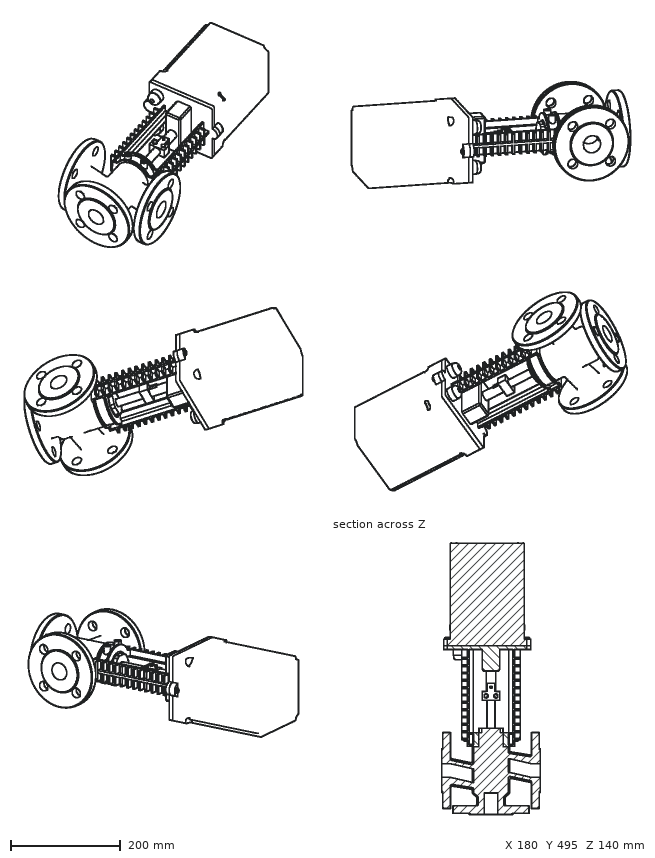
import cadquery as cq
import math


PORT_REACH = 90.0
BOTTOM_REACH = 80.0
FLANGE_DIA = 140.0
FLANGE_THICKNESS = 16.5
RIM_CHAMFER = 1.5
RAISED_DIA = 77.5
RAISED_BASE_DIA = 81.5
RAISED_HEIGHT = 2.0
BOLT_CIRCLE_DIA = 100.0
BOLT_HOLE_DIA = 18.0
BOLT_COUNT = 4
FIRST_BOLT_ANGLE = 45
BORE_DIA = 32.0

BODY_DIA = 68.0
BODY_BOTTOM = -41.0
NECK_DIA = 52.0
NECK_SHOULDER = 7.5
NECK_FLARE = 2.5
SHOULDER_RADIUS = 3.0
PORT_DROP = 17.0
PORT_DIA_AT_FLANGE = 50.0
PORT_DIA_AT_BODY = 45.5
PORT_FILLET = 3.0
JOINT_MARGIN = 0.5

CLAMP_BOTTOM = 44.0
CLAMP_TOP = 69.5
CLAMP_PLATE_THICKNESS = 3.5
CLAMP_PLATE_DIA = 76.0
SPIGOT_DIA = 50.0
SCREW_OFFSET = 17.5
SCREW_DIA = 12.5
SCREW_SOCKET_DIA = 7.5
SCREW_SOCKET_DEPTH = 3.5
SCREW_TOP = 39.5

NUT_TOP = 77.0
NUT_FLATS = 41.5
NUT_ROUND_DIA = 44.5

COLUMN_INNER = 32.0
WEB_INNER = 39.5
WEB_OUTER = 43.0
FIN_OUTER = 53.5
COLUMN_WIDTH = 38.0
RAIL_WIDTH = 15.0
SPINE_WIDTH = 5.0
SPINE_BOTTOM = 53.0
SPINE_RADIUS = 9.5
FIN_COUNT = 12
FIRST_FIN = 204.5
FIN_PITCH = 13.5
FIN_THICKNESS = 3.5

BASE_BOTTOM = 220.5
BASE_TOP = 227.5
CASE_CENTER_X = -7.0
CASE_WIDTH = 136.0
CASE_HEIGHT = 124.5
CASE_EDGE_RADIUS = 4.0
EAR_DIA = 25.0
EAR_SPACING = 133.5
GLAND_X = -56.5
GLAND_Z = 38.0
GLAND_DIA = 25.0
GLAND_BARREL = 10.5
GLAND_COLLAR = 3.0
GLAND_COLLAR_DIA = 24.0
GLAND_LENGTH = 19.0
GLAND_NOSE_DIA = 13.5
GLAND_BULGE = 1.0
GLAND_HOLE_DIA = 7.5
GLAND_HOLE_DEPTH = 7.5
GEARBOX_WIDTH = 32.0
GEARBOX_HEIGHT = 89.0
GEARBOX_BOTTOM = 181.0
GEARBOX_CHAMFER = 3.0
SPINDLE_DIA = 18.0

COVER_TOP = 415.0
COVER_TOP_RADIUS = 3.0
GROOVE_RADIUS = 10.0
GROOVE_LIP_RADIUS = 3.0
GROOVE_BOTTOM = 264.5
GROOVE_RUNOUT = 8.0
GROOVE_END_RADIUS = 7.5
COVER_EAR_TOP = 239.5
EAR_PIN_DIA = 10.0
EAR_PIN_TOP = 243.0
EAR_PIN_CHAMFER = 2.0
EAR_PIN_SHIFT = 6.0

COUPLING_WIDTH = 32.0
COUPLING_BOTTOM = 127.5
COUPLING_TOP = 144.0
COUPLING_THICKNESS = 18.0
TAB_WIDTH = 14.5
TAB_TOP = 159.0
CLAMP_BOLT_DIA = 7.5
CLAMP_BOLT_OFFSET = 9.0
TAB_PIN_DIA = 4.0
TAB_PIN_Y = 152.0
PIN_HEIGHT = 3.0
STEM_DIA = 15.0


def box(x0, x1, y0, y1, z0, z1):
    """Box between two opposite corners."""
    return cq.Workplane("XY").box(x1 - x0, y1 - y0, z1 - z0, centered=False).translate((x0, y0, z0))


def rod(diameter, y0, y1, x=0, z=0):
    """Cylinder parallel to Y."""
    solid = cq.Solid.makeCylinder(diameter / 2, y1 - y0, cq.Vector(x, y0, z), cq.Vector(0, 1, 0))
    return cq.Workplane(obj=solid)


def post(diameter, x, y, z0, z1):
    """Cylinder parallel to Z."""
    solid = cq.Solid.makeCylinder(diameter / 2, z1 - z0, cq.Vector(x, y, z0), cq.Vector(0, 0, 1))
    return cq.Workplane(obj=solid)


def round_joint(body, center, radius):
    """Fillet the edge whose centre lies nearest to a point."""
    return body.edges(cq.selectors.NearestToPointSelector(center)).fillet(radius)


def flange(reach):
    """Bottom flange: drilled disc with a bevelled raised face at y = -reach."""
    back = FLANGE_THICKNESS - reach
    seat = RAISED_HEIGHT - reach
    disc = rod(FLANGE_DIA, seat, back).faces("<Y or >Y").chamfer(RIM_CHAMFER)
    raised = cq.Workplane(obj=cq.Solid.makeCone(
        RAISED_DIA / 2, RAISED_BASE_DIA / 2, RAISED_HEIGHT, cq.Vector(0, -reach, 0), cq.Vector(0, 1, 0)))
    disc = disc.union(raised)
    for index in range(BOLT_COUNT):
        angle = math.radians(FIRST_BOLT_ANGLE + index * 360 / BOLT_COUNT)
        hole_x = BOLT_CIRCLE_DIA / 2 * math.cos(angle)
        hole_z = BOLT_CIRCLE_DIA / 2 * math.sin(angle)
        disc = disc.cut(rod(BOLT_HOLE_DIA, seat, back, hole_x, hole_z))
    return disc


def side_flange(side):
    """The same flange turned to face -X (side = -1) or +X (side = 1)."""
    return flange(PORT_REACH).rotate((0, 0, 0), (0, 0, 1), side * 90)


def port_pipe(side):
    """Tapered pipe sloping from inside a side flange to the stem axis."""
    start = cq.Vector(side * PORT_REACH, 0, 0)
    run = cq.Vector(0, side * PORT_DROP, 0) - start
    pipe = cq.Solid.makeCone(PORT_DIA_AT_FLANGE / 2, PORT_DIA_AT_BODY / 2, run.Length, start, run)
    limit = PORT_REACH - FLANGE_THICKNESS / 2
    inside_flanges = box(-limit, limit, -FLANGE_DIA, FLANGE_DIA, -FLANGE_DIA, FLANGE_DIA)
    return cq.Workplane(obj=pipe).intersect(inside_flanges)


def port_bore(side):
    """Straight bore through the flange, then a sloping bore that ends on the barrel surface."""
    start = cq.Vector(side * PORT_REACH, 0, 0)
    inward = cq.Vector(-side, 0, 0)
    bend = start + inward * FLANGE_THICKNESS
    run = cq.Vector(0, side * PORT_DROP, 0) - bend
    straight = cq.Solid.makeCylinder(BORE_DIA / 2, FLANGE_THICKNESS, start, inward)
    elbow = cq.Solid.makeSphere(BORE_DIA / 2, bend, cq.Vector(0, 0, 1), -90, 90, 360)
    sloping = cq.Solid.makeCylinder(BORE_DIA / 2, run.Length, bend, run)
    bore = cq.Workplane(obj=straight).union(cq.Workplane(obj=elbow)).union(cq.Workplane(obj=sloping))
    return bore.cut(rod(BODY_DIA, BODY_BOTTOM, CLAMP_BOTTOM))


def valve_barrel():
    """Turned barrel with a tapered shoulder and a neck that flares into the bottom flange."""
    neck_radius = NECK_DIA / 2
    shoulder_end = BODY_BOTTOM - NECK_SHOULDER
    neck_end = FLANGE_THICKNESS - BOTTOM_REACH
    flare_mid = NECK_FLARE * (1 - math.sqrt(0.5))
    barrel = (
        cq.Workplane("XY")
        .moveTo(0, CLAMP_BOTTOM)
        .lineTo(BODY_DIA / 2, CLAMP_BOTTOM)
        .lineTo(BODY_DIA / 2, BODY_BOTTOM)
        .lineTo(neck_radius, shoulder_end)
        .lineTo(neck_radius, neck_end + NECK_FLARE)
        .threePointArc((neck_radius + flare_mid, neck_end + flare_mid), (neck_radius + NECK_FLARE, neck_end))
        .lineTo(0, neck_end)
        .close()
        .revolve(360, (0, 0, 0), (0, 1, 0))
    )
    for shoulder_y in (BODY_BOTTOM, shoulder_end):
        barrel = round_joint(barrel, (0, shoulder_y, 0), SHOULDER_RADIUS)
    return barrel.rotate((0, 0, 0), (0, 1, 0), 90)


def round_flange_joint(body, side):
    """Fillet the edge between a sloping pipe and the back of its flange."""
    back = side * (PORT_REACH - FLANGE_THICKNESS)
    reach = PORT_DIA_AT_FLANGE
    zone = cq.selectors.BoxSelector(
        (back - JOINT_MARGIN, -reach, -reach), (back + JOINT_MARGIN, reach, reach))
    return body.edges(zone).edges("%ELLIPSE").fillet(PORT_FILLET)


def bonnet():
    """Spigot inside the clamp and the hexagon nut on top of it."""
    corner_dia = NUT_FLATS / math.cos(math.pi / 6)
    nut = cq.Workplane("XZ", origin=(0, NUT_TOP, 0)).polygon(6, corner_dia).extrude(NUT_TOP - CLAMP_TOP)
    nut = nut.intersect(rod(NUT_ROUND_DIA, CLAMP_TOP, NUT_TOP))
    return rod(SPIGOT_DIA, CLAMP_BOTTOM, CLAMP_TOP).union(nut)


def make_valve():
    body = valve_barrel()
    for side in (-1, 1):
        body = body.union(port_pipe(side))
        joint_y = side * PORT_DROP * (1 - BODY_DIA / 2 / PORT_REACH)
        body = round_joint(body, (side * BODY_DIA / 2, joint_y, 0), PORT_FILLET)
    for side in (-1, 1):
        body = body.union(side_flange(side))
        body = round_flange_joint(body, side)
    body = body.union(flange(BOTTOM_REACH))
    for side in (-1, 1):
        body = body.cut(port_bore(side))
    body = body.cut(rod(BORE_DIA, -BOTTOM_REACH, BODY_BOTTOM))
    return body.union(bonnet()).cut(rod(STEM_DIA, CLAMP_BOTTOM, NUT_TOP))


def column():
    """Finned column on the +X side."""
    half_width = COLUMN_WIDTH / 2
    web = box(WEB_INNER, WEB_OUTER, CLAMP_BOTTOM, BASE_BOTTOM, -half_width, half_width)
    rail = box(COLUMN_INNER, WEB_INNER, CLAMP_BOTTOM, BASE_BOTTOM, -RAIL_WIDTH / 2, RAIL_WIDTH / 2)
    spine = box(WEB_OUTER, FIN_OUTER, SPINE_BOTTOM, BASE_BOTTOM, -SPINE_WIDTH / 2, SPINE_WIDTH / 2)
    spine = spine.edges(">X and <Y").fillet(SPINE_RADIUS)
    part = web.union(rail).union(spine)
    for index in range(FIN_COUNT):
        fin_bottom = FIRST_FIN - index * FIN_PITCH - FIN_THICKNESS / 2
        fin_top = fin_bottom + FIN_THICKNESS
        part = part.union(box(WEB_OUTER, FIN_OUTER, fin_bottom, fin_top, -half_width, half_width))
    return part


def clamp_plate(bottom):
    """Round plate widened along X to carry the columns."""
    top = bottom + CLAMP_PLATE_THICKNESS
    bridge = box(-WEB_OUTER, WEB_OUTER, bottom, top, -COLUMN_WIDTH / 2, COLUMN_WIDTH / 2)
    return rod(CLAMP_PLATE_DIA, bottom, top).union(bridge)


def clamp_screw(x):
    """Socket screw standing on the clamp ring."""
    y = (CLAMP_BOTTOM + CLAMP_TOP) / 2
    screw = post(SCREW_DIA, x, y, 0, SCREW_TOP)
    return screw.cut(post(SCREW_SOCKET_DIA, x, y, SCREW_TOP - SCREW_SOCKET_DEPTH, SCREW_TOP))


def make_yoke():
    ring = rod(BODY_DIA, CLAMP_BOTTOM, CLAMP_TOP)
    yoke = ring.union(clamp_plate(CLAMP_BOTTOM)).union(clamp_plate(CLAMP_TOP - CLAMP_PLATE_THICKNESS))
    yoke = yoke.union(column()).union(column().mirror("YZ"))
    for side in (-1, 1):
        yoke = yoke.union(clamp_screw(side * SCREW_OFFSET))
    return yoke.cut(rod(SPIGOT_DIA, CLAMP_BOTTOM, CLAMP_TOP))


def case_span():
    """Extent of the actuator case along X."""
    return CASE_CENTER_X - CASE_WIDTH / 2, CASE_CENTER_X + CASE_WIDTH / 2


def case_block(y0, y1):
    """Slab of the actuator case with rounded long edges."""
    block = box(*case_span(), y0, y1, -CASE_HEIGHT / 2, CASE_HEIGHT / 2)
    return block.edges("|Y").fillet(CASE_EDGE_RADIUS)


def ear_positions():
    """Side and X position of each ear."""
    return [(side, CASE_CENTER_X + side * EAR_SPACING / 2) for side in (-1, 1)]


def gland(z):
    """Cable gland below the base: barrel, collar, domed nose and cable hole."""
    barrel_end = BASE_BOTTOM - GLAND_BARREL
    dome_start = barrel_end - GLAND_COLLAR
    nose = BASE_BOTTOM - GLAND_LENGTH
    bulge_radius = (GLAND_COLLAR_DIA + GLAND_NOSE_DIA) / 4 + GLAND_BULGE
    bulge_y = (dome_start + nose) / 2 - GLAND_BULGE
    shape = (
        cq.Workplane("XY")
        .moveTo(0, BASE_BOTTOM)
        .lineTo(GLAND_DIA / 2, BASE_BOTTOM)
        .lineTo(GLAND_DIA / 2, barrel_end)
        .lineTo(GLAND_COLLAR_DIA / 2, barrel_end)
        .lineTo(GLAND_COLLAR_DIA / 2, dome_start)
        .threePointArc((bulge_radius, bulge_y), (GLAND_NOSE_DIA / 2, nose))
        .lineTo(0, nose)
        .close()
        .revolve(360, (0, 0, 0), (0, 1, 0))
    )
    shape = shape.cut(rod(GLAND_HOLE_DIA, nose, nose + GLAND_HOLE_DEPTH))
    return shape.translate((GLAND_X, 0, z))


def gearbox():
    """Gear housing below the base."""
    half_width = GEARBOX_WIDTH / 2
    half_height = GEARBOX_HEIGHT / 2
    block = box(-half_width, half_width, GEARBOX_BOTTOM, BASE_BOTTOM, -half_height, half_height)
    return block.edges("|Y or <Y").chamfer(GEARBOX_CHAMFER)


def make_base():
    base = case_block(BASE_BOTTOM, BASE_TOP)
    for _, ear_x in ear_positions():
        base = base.union(rod(EAR_DIA, BASE_BOTTOM, BASE_TOP, ear_x))
    for side in (-1, 1):
        base = base.union(gland(side * GLAND_Z))
    return base.union(gearbox()).union(rod(SPINDLE_DIA, COUPLING_TOP, GEARBOX_BOTTOM))


def groove_cutters(radius, y0):
    """Cutters that run along the four long edges of the case."""
    corners = [
        (CASE_CENTER_X + side_x * CASE_WIDTH / 2, side_z * CASE_HEIGHT / 2)
        for side_x in (-1, 1) for side_z in (-1, 1)
    ]
    return [rod(2 * radius, y0, COVER_TOP, x, z) for x, z in corners]


def make_cover():
    hood = box(*case_span(), GROOVE_BOTTOM, COVER_TOP, -CASE_HEIGHT / 2, CASE_HEIGHT / 2)
    for cutter in groove_cutters(GROOVE_RADIUS, GROOVE_BOTTOM):
        hood = hood.cut(cutter)
    hood = hood.edges("|Y").fillet(GROOVE_LIP_RADIUS)
    hood = hood.faces(">Y").edges().fillet(COVER_TOP_RADIUS)

    skirt = case_block(BASE_TOP, GROOVE_BOTTOM)
    for cutter in groove_cutters(GROOVE_RADIUS + GROOVE_LIP_RADIUS, GROOVE_BOTTOM - GROOVE_RUNOUT):
        skirt = skirt.cut(cutter.faces("<Y").edges().fillet(GROOVE_END_RADIUS))
    cover = hood.union(skirt)

    for side, ear_x in ear_positions():
        cover = cover.union(rod(EAR_DIA, BASE_TOP, COVER_EAR_TOP, ear_x))
        pin = rod(EAR_PIN_DIA, BASE_TOP, EAR_PIN_TOP, ear_x + side * EAR_PIN_SHIFT)
        cover = cover.union(pin.faces(">Y").chamfer(EAR_PIN_CHAMFER))
    return cover


def make_coupling():
    half = COUPLING_THICKNESS / 2
    block = box(-COUPLING_WIDTH / 2, COUPLING_WIDTH / 2, COUPLING_BOTTOM, COUPLING_TOP, -half, half)
    tab = box(-TAB_WIDTH / 2, TAB_WIDTH / 2, COUPLING_TOP, TAB_TOP, 0, half)
    coupling = block.union(tab)
    bolt_y = (COUPLING_BOTTOM + COUPLING_TOP) / 2
    for side in (-1, 1):
        coupling = coupling.union(post(CLAMP_BOLT_DIA, side * CLAMP_BOLT_OFFSET, bolt_y, 0, half + PIN_HEIGHT))
    return coupling.union(post(TAB_PIN_DIA, 0, TAB_PIN_Y, half / 2, half + PIN_HEIGHT))


def make_stem():
    return rod(STEM_DIA, CLAMP_BOTTOM, COUPLING_BOTTOM)


valve = make_valve()
yoke = make_yoke()
coupling = make_coupling()
base = make_base().cut(coupling)
cover = make_cover()
stem = make_stem()

result = cq.Compound.makeCompound([
    valve.val(), yoke.val(), coupling.val(), base.val(), cover.val(), stem.val(),
])